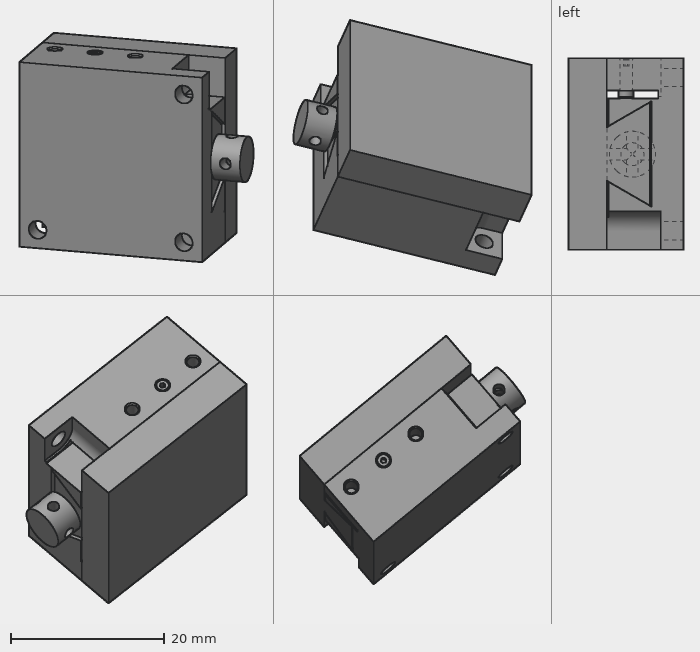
import cadquery as cq
import math

side = 25.0
centre = side / 2
plate_thickness = 5.0
carriage_thickness = 10.0

dovetail_root_half = 3.5
dovetail_height = 5.6
dovetail_flank_angle = 30.0
dovetail_length = 24.5
dovetail_floor_gap = 0.2

pocket_size = 5.0
pocket_radius = 2.5
flange_thickness = 3.0

face_clearance = 0.2
clearance_margin = 4.25
slot_width = 1.0
slot_floor_y = 3.32

mount_hole_diameter = 2.4
mount_hole_inset = 2.5

screw_hole_y = 7.5
screw_hole_first_x = 2.5
screw_hole_pitch = 5.5
screw_hole_count = 3
screw_hole_diameter = 1.6
screw_hole_chamfer = 0.2
countersink_half_angle = 45.0
screw_diameter = 2.0
screw_end_chamfer = 0.2
screw_socket_width = 0.75
screw_socket_depth = 1.0

knob_diameter = 6.0
knob_length = 4.0
knob_y = 6.7
knob_hole_diameter = 1.5
neck_diameter = 3.0

plate_y = carriage_thickness
slot_top_z = side - clearance_margin
slot_bottom_z = slot_top_z - slot_width
screw_hole_x = [screw_hole_first_x + i * screw_hole_pitch for i in range(screw_hole_count)]
set_screw_x = screw_hole_x[1]

ALONG = (1, 0, 0)
INWARD = (0, 1, 0)
UP = (0, 0, 1)


def box(x_range, y_range, z_range):
    """Block spanning the given (low, high) limits."""
    corner = (x_range[0], y_range[0], z_range[0])
    size = [high - low for low, high in (x_range, y_range, z_range)]
    return cq.Workplane().box(*size, centered=False).translate(corner)


def cylinder(start, direction, diameter, length):
    """Round bar from the start point along the direction."""
    bar = cq.Solid.makeCylinder(diameter / 2, length, cq.Vector(*start), cq.Vector(*direction))
    return cq.Workplane(bar)


def dovetail(floor_y, length):
    """Dovetail bar along X, flaring from the plate face towards floor_y."""
    flare = math.tan(math.radians(dovetail_flank_angle))
    floor_half = dovetail_root_half + (plate_y - floor_y) * flare
    outline = [
        (plate_y, centre - dovetail_root_half),
        (plate_y, centre + dovetail_root_half),
        (floor_y, centre + floor_half),
        (floor_y, centre - floor_half),
    ]
    return cq.Workplane("YZ").polyline(outline).close().extrude(length)


def upper_pocket():
    """Corner pocket at high X and high Z with a rounded inner corner."""
    pocket = box((side - pocket_size, side), (flange_thickness, plate_y), (side - pocket_size, side))
    return pocket.edges("<X and <Z").fillet(pocket_radius)


def set_screw():
    """Socket set screw in the middle hole, bearing on the gib."""
    length = side - slot_bottom_z
    screw = cylinder((set_screw_x, screw_hole_y, slot_bottom_z), UP, screw_diameter, length)
    screw = screw.faces("<Z or >Z").chamfer(screw_end_chamfer)
    socket = cq.Workplane("XY", origin=(set_screw_x, screw_hole_y, side)).transformed(rotate=(0, 0, 90))
    return screw.cut(socket.polygon(6, screw_socket_width).extrude(-screw_socket_depth))


def screw_hole(x):
    """Hole from the top face into the slot, with a countersunk mouth."""
    hole = cylinder((x, screw_hole_y, slot_top_z), UP, screw_hole_diameter, side - slot_top_z)
    mouth_radius = screw_hole_diameter / 2 + screw_hole_chamfer
    mouth = cq.Workplane("XY", origin=(x, screw_hole_y, side)).circle(mouth_radius)
    return hole.union(mouth.extrude(-screw_hole_chamfer, taper=countersink_half_angle))


def make_carriage():
    """Outer block with dovetail groove, gib slot, corner pockets, mounting holes and set screw."""
    body = box((0, side), (0, plate_y), (0, side))

    pocket = upper_pocket()
    body = body.cut(pocket)
    body = body.cut(pocket.rotate((centre, 0, centre), (centre, 1, centre), 180))

    body = body.cut(dovetail(plate_y - dovetail_height - dovetail_floor_gap, side))
    body = body.cut(box((0, side), (plate_y - face_clearance, plate_y), (clearance_margin, slot_top_z)))
    body = body.cut(box((0, side), (slot_floor_y, plate_y), (slot_bottom_z, slot_top_z)))

    near = mount_hole_inset
    far = side - mount_hole_inset
    for x, z in [(near, near), (far, near), (far, far)]:
        body = body.cut(cylinder((x, 0, z), INWARD, mount_hole_diameter, flange_thickness))

    for x in screw_hole_x:
        body = body.cut(screw_hole(x))
    return body.union(set_screw())


def make_base():
    """Mounting plate with its dovetail and the adjusting knob on the dovetail's end."""
    base = box((0, side), (plate_y, plate_y + plate_thickness), (0, side))
    base = base.union(dovetail(plate_y - dovetail_height, dovetail_length))

    neck = cylinder((dovetail_length, knob_y, centre), ALONG, neck_diameter, side - dovetail_length)
    knob = cylinder((side, knob_y, centre), ALONG, knob_diameter, knob_length)

    hole_x = side + knob_length / 2
    radius = knob_diameter / 2
    for start, direction in [
        ((hole_x, knob_y - radius, centre), INWARD),
        ((hole_x, knob_y, centre - radius), UP),
    ]:
        knob = knob.cut(cylinder(start, direction, knob_hole_diameter, knob_diameter))
    return base.union(neck).union(knob)


carriage = make_carriage()
base = make_base()

result = cq.Compound.makeCompound([carriage.val(), base.val()])